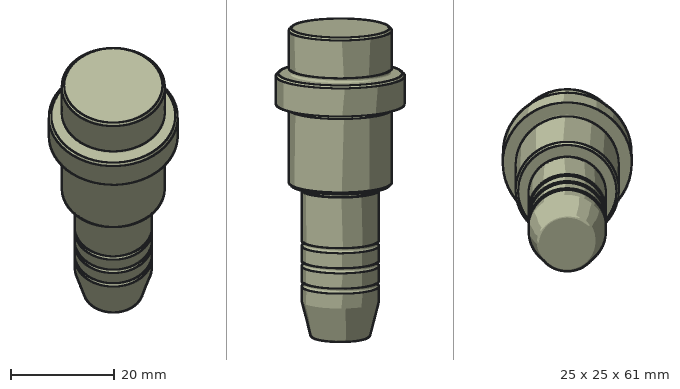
import cadquery as cq

total_length = 61.0
flange_radius = 12.5
body_radius = 10.0
tail_radius = 7.5

tail_straight_bottom = 7.0
neck_bottom = 29.0
body_bottom = 30.0
flange_bottom = 46.0
flange_top = 52.05

chamfer = 0.5
groove_radius = 0.5
tail_groove_heights = (10.5, 14.5, 18.5)

tip_radius = 5.75
tip_fillet = 0.6


def cylinder(radius, bottom, top):
    """Solid cylinder on the Z axis between two heights."""
    return cq.Workplane("XY").workplane(offset=bottom).circle(radius).extrude(top - bottom)


def groove(surface_radius, height):
    """Ring cutter leaving a semicircular groove in a cylindrical surface."""
    section = cq.Workplane("XZ").center(surface_radius, height).circle(groove_radius)
    return section.revolve(360, (-surface_radius, 0), (-surface_radius, 1))


tip = (
    cq.Workplane("XY")
    .circle(tip_radius)
    .workplane(offset=tail_straight_bottom)
    .circle(tail_radius)
    .loft(ruled=True)
    .faces("<Z")
    .edges()
    .fillet(tip_fillet)
)
tail = cylinder(tail_radius, tail_straight_bottom, neck_bottom)
neck = cylinder(tail_radius - groove_radius, neck_bottom, body_bottom)

body = cylinder(body_radius, body_bottom, total_length).edges().chamfer(chamfer)
flange = cylinder(flange_radius, flange_bottom, flange_top).faces(">Z").edges().chamfer(chamfer)

result = tip.union(tail).union(neck).union(body).union(flange)

for height in (flange_bottom - groove_radius, flange_top + groove_radius):
    result = result.cut(groove(body_radius, height))

for height in tail_groove_heights:
    result = result.cut(groove(tail_radius, height))